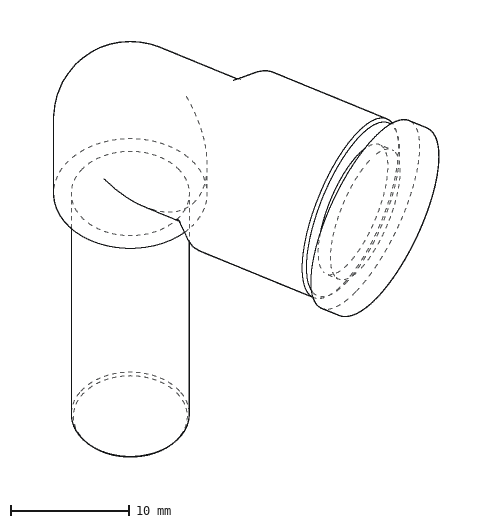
import cadquery as cq


elbow_radius = 6.5
collar_length = 9.13
tube_radius = 5.0
tube_chamfer_height = 0.25
tube_chamfer_depth = 0.18

socket_radius = 8.2
total_height = 44.3
tube_end = total_height - socket_radius
cone_start = 7.97
cone_end = 10.05
socket_end = 21.75
socket_edge_chamfer = 0.25
cone_blend_radius = 0.9

sleeve_radius = 5.95
flange_start = 22.95
total_length = 31.5
flange_end = total_length - elbow_radius
flange_width = 18.5
flange_height = 16.13
flange_edge_radius = 0.35


def rod_along_x(radius, start, end):
    return cq.Workplane("YZ", origin=(start, 0, 0)).circle(radius).extrude(end - start)


def rod_downward(radius, start, end):
    return cq.Workplane("XY", origin=(0, 0, -start)).circle(radius).extrude(start - end)


def make_elbow():
    ball = cq.Workplane("XY").sphere(elbow_radius)
    collar = rod_downward(elbow_radius, 0, collar_length)
    return ball.union(collar)


def make_tube():
    tube = rod_downward(tube_radius, 0, tube_end)
    return tube.faces("<Z").edges().chamfer(tube_chamfer_height, tube_chamfer_depth)


def make_socket():
    """Neck, cone and socket cylinder turned about X, with both cone ends blended."""
    socket = (
        cq.Workplane("XY")
        .lineTo(0, elbow_radius)
        .lineTo(cone_start, elbow_radius)
        .lineTo(cone_end, socket_radius)
        .lineTo(socket_end, socket_radius)
        .lineTo(socket_end, 0)
        .close()
        .revolve(axisStart=(0, 0, 0), axisEnd=(1, 0, 0))
    )
    rim_margin = 0.45
    rim_reach = socket_radius + rim_margin
    cone_rims = cq.selectors.BoxSelector(
        (cone_start - rim_margin, -rim_reach, -rim_reach),
        (cone_end + rim_margin, rim_reach, rim_reach),
    )
    socket = socket.faces(">X").edges().chamfer(socket_edge_chamfer)
    return socket.edges(cone_rims).fillet(cone_blend_radius)


def make_flange():
    flange = (
        cq.Workplane("YZ", origin=(flange_start, 0, 0))
        .ellipse(flange_width / 2, flange_height / 2)
        .extrude(flange_end - flange_start)
    )
    return flange.faces(">X").edges().fillet(flange_edge_radius)


sleeve = rod_along_x(sleeve_radius, socket_end, flange_start)
result = make_elbow().union(make_tube()).union(make_socket()).union(sleeve).union(make_flange())